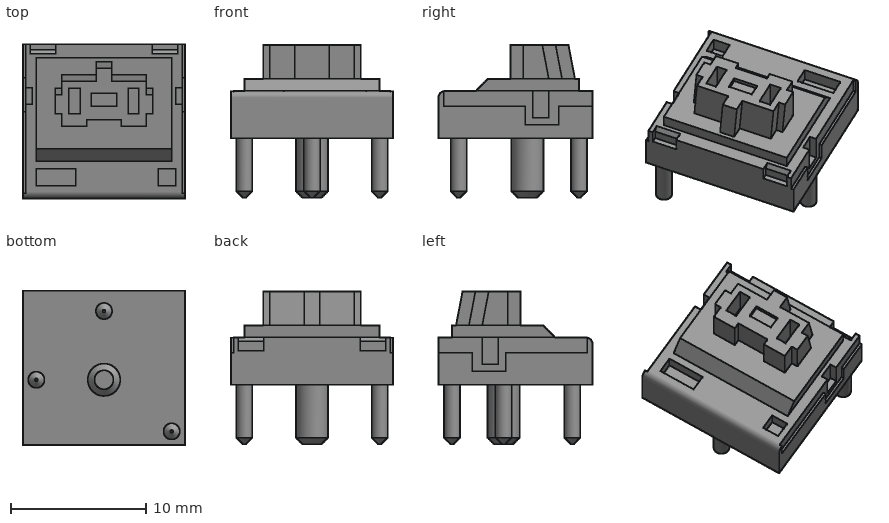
import cadquery as cq


BODY_WIDTH = 12.0
BODY_LENGTH = 11.4
BODY_HEIGHT = 3.5
BODY_REAR = 4.82
BODY_FRONT = BODY_REAR - BODY_LENGTH
FRONT_EDGE_RADIUS = 0.5

SHOULDER_INSET = 0.2
SHOULDER_BOTTOM = 2.38
SHOULDER_FRONT_MARGIN = 0.4
SHOULDER_FRONT = BODY_FRONT + SHOULDER_FRONT_MARGIN
TAB_CENTER_Y = 1.08
TAB_WIDTH = 2.5
TAB_BOTTOM = 1.0

SLOT_CENTER_Y = 0.99
SLOT_WIDTH = 1.2
SLOT_DEPTH = 0.7
SLOT_BOTTOM = 1.5

NOTCH_CENTER_X = 4.5
NOTCH_WIDTH = 1.9
NOTCH_DEPTH = 0.7
NOTCH_CHAMFER = 0.3
NOTCH_DROP = 1.0

WINDOW_REAR = -4.38
WINDOW_FRONT = -5.63
WINDOW_DEPTH = 1.0
WINDOW_SPANS_X = [(-5.0, -2.1), (4.0, 5.31)]

PLATFORM_WIDTH = 10.0
PLATFORM_HALF_LENGTH = 3.82
PLATFORM_HEIGHT = 0.9
PLATFORM_TOP = BODY_HEIGHT + PLATFORM_HEIGHT

STEM_HEIGHT = 2.5
STEM_TOP = PLATFORM_TOP + STEM_HEIGHT
STEM_LEAN = 0.48
STEM_FRONT = -1.25
CORE_WIDTH = 6.22
CORE_REAR = 2.56
EAR_SPAN = 7.22
EAR_REAR = 1.58
EAR_FRONT = -0.3
RIB_WIDTH = 1.15
RIB_REAR = 3.52
RECESS_WIDTH = 2.54
RECESS_DEPTH = 0.5

SIDE_POCKET_SPANS_X = [(-2.61, -1.75), (1.8, 2.58)]
SIDE_POCKET_DEPTH = STEM_HEIGHT
CENTER_POCKET_WIDTH = 1.86
CENTER_POCKET_REAR = 1.19
CENTER_POCKET_FRONT = 0.24
CENTER_POCKET_DEPTH = 0.3

PIN_LENGTH = 4.4
PIN_TIP = 0.5
PEG_DIAMETER = 2.4
PIN_DIAMETER = 1.2
PIN_PLACES = [(-5.0, 0.0), (0.0, -5.08), (5.0, 3.81)]


def block(x_span, y_span, z_span):
    """Box between the given limits along each axis."""
    size_x = x_span[1] - x_span[0]
    size_y = y_span[1] - y_span[0]
    size_z = z_span[1] - z_span[0]
    corner = (x_span[0], y_span[0], z_span[0])
    return cq.Workplane("XY").box(size_x, size_y, size_z, centered=False).translate(corner)


def profile_along_x(points, width, center_x=0.0):
    """Extrude a (Y, Z) outline along X, centred on center_x."""
    outline = cq.Workplane("YZ").polyline(points).close()
    return outline.extrude(width / 2, both=True).translate((center_x, 0, 0))


def make_side_cuts():
    """Shoulder step, locking tab and slot of the -X wall."""
    wall = -BODY_WIDTH / 2
    step = (wall, wall + SHOULDER_INSET)
    shoulder = block(step, (SHOULDER_FRONT, BODY_REAR), (SHOULDER_BOTTOM, BODY_HEIGHT))
    tab_y = (TAB_CENTER_Y - TAB_WIDTH / 2, TAB_CENTER_Y + TAB_WIDTH / 2)
    tab = block(step, tab_y, (TAB_BOTTOM, BODY_HEIGHT))
    slot_y = (SLOT_CENTER_Y - SLOT_WIDTH / 2, SLOT_CENTER_Y + SLOT_WIDTH / 2)
    slot = block((wall, wall + SLOT_DEPTH), slot_y, (SLOT_BOTTOM, BODY_HEIGHT))
    return shoulder.union(tab).union(slot)


def make_rear_notch(center_x):
    """Notch with a chamfered inner wall and a flat floor, open to the rear."""
    wall_y = BODY_REAR - NOTCH_DEPTH + NOTCH_CHAMFER
    floor_z = BODY_HEIGHT - NOTCH_DROP
    points = [
        (BODY_REAR - NOTCH_DEPTH, BODY_HEIGHT),
        (wall_y, BODY_HEIGHT - NOTCH_CHAMFER),
        (wall_y, floor_z),
        (BODY_REAR, floor_z),
        (BODY_REAR, BODY_HEIGHT),
    ]
    return profile_along_x(points, NOTCH_WIDTH, center_x)


def make_body():
    half_width = BODY_WIDTH / 2
    body = block((-half_width, half_width), (BODY_FRONT, BODY_REAR), (0, BODY_HEIGHT))
    body = body.edges("<Y and >Z").fillet(FRONT_EDGE_RADIUS)
    side_cuts = make_side_cuts()
    body = body.cut(side_cuts).cut(side_cuts.mirror("YZ"))
    for side in (-1, 1):
        body = body.cut(make_rear_notch(side * NOTCH_CENTER_X))
    for x_span in WINDOW_SPANS_X:
        window_z = (BODY_HEIGHT - WINDOW_DEPTH, BODY_HEIGHT)
        body = body.cut(block(x_span, (WINDOW_FRONT, WINDOW_REAR), window_z))
    return body


def make_platform():
    points = [
        (PLATFORM_HALF_LENGTH, BODY_HEIGHT),
        (PLATFORM_HALF_LENGTH, PLATFORM_TOP),
        (PLATFORM_HEIGHT - PLATFORM_HALF_LENGTH, PLATFORM_TOP),
        (-PLATFORM_HALF_LENGTH, BODY_HEIGHT),
    ]
    return profile_along_x(points, PLATFORM_WIDTH)


def make_leaning_block(width, front, rear):
    """Stem block with an upright front and a rear face that leans forward."""
    points = [
        (front, PLATFORM_TOP),
        (rear, PLATFORM_TOP),
        (rear - STEM_LEAN, STEM_TOP),
        (front, STEM_TOP),
    ]
    return profile_along_x(points, width)


def make_stem():
    stem = make_leaning_block(CORE_WIDTH, STEM_FRONT, CORE_REAR)
    stem = stem.union(make_leaning_block(EAR_SPAN, EAR_FRONT, EAR_REAR))
    stem = stem.union(make_leaning_block(RIB_WIDTH, EAR_FRONT, RIB_REAR))

    recess_x = (-RECESS_WIDTH / 2, RECESS_WIDTH / 2)
    recess_y = (STEM_FRONT, STEM_FRONT + RECESS_DEPTH)
    stem = stem.cut(block(recess_x, recess_y, (PLATFORM_TOP, STEM_TOP)))

    for x_span in SIDE_POCKET_SPANS_X:
        pocket_z = (STEM_TOP - SIDE_POCKET_DEPTH, STEM_TOP)
        stem = stem.cut(block(x_span, (EAR_FRONT, EAR_REAR), pocket_z))

    center_x = (-CENTER_POCKET_WIDTH / 2, CENTER_POCKET_WIDTH / 2)
    center_y = (CENTER_POCKET_FRONT, CENTER_POCKET_REAR)
    return stem.cut(block(center_x, center_y, (STEM_TOP - CENTER_POCKET_DEPTH, STEM_TOP)))


def make_pin(diameter, place):
    """Round pin below the housing with a 45 degree tip."""
    pin = cq.Workplane("XY").circle(diameter / 2).extrude(-PIN_LENGTH)
    return pin.faces("<Z").chamfer(PIN_TIP).translate((place[0], place[1], 0))


result = make_body().union(make_platform()).union(make_stem())
result = result.union(make_pin(PEG_DIAMETER, (0, 0)))
for pin_place in PIN_PLACES:
    result = result.union(make_pin(PIN_DIAMETER, pin_place))